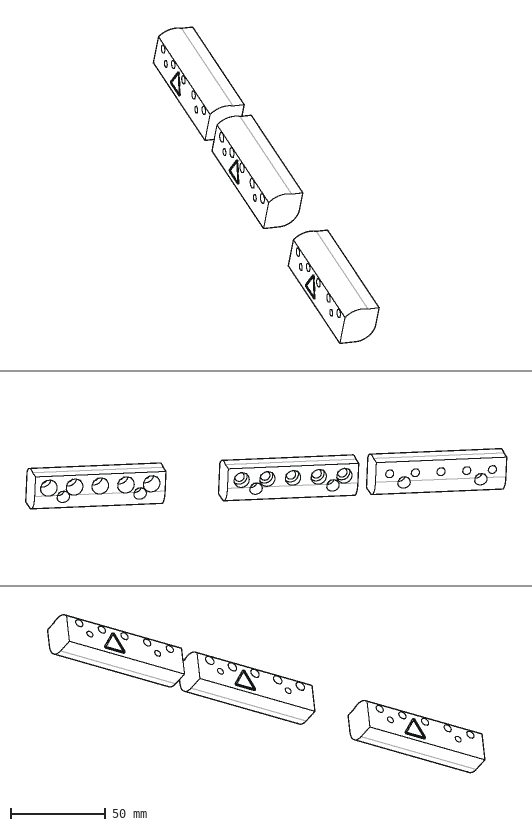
import cadquery as cq
import math

TOTAL_LENGTH = 257.0
BAR_LENGTH = 71.2
MIDDLE_BAR_START = 80.7

TILT_DEGREES = 10.0
TOP_RADIUS = 11.8
FRONT_DISTANCE = 9.2
REAR_DISTANCE = 10.0
BOTTOM_DISTANCE = 9.8
REAR_CORNER_RADIUS = 10.0
SHELF_HEIGHT = 11.3
BAR_DEPTH = FRONT_DISTANCE + REAR_DISTANCE

MAIN_COUNT = 5
MAIN_SPAN = 56.0
MAIN_PITCH = MAIN_SPAN / (MAIN_COUNT - 1)
MAIN_HEIGHT = 4.5
FIRST_BAR_DIAMETER = 4.4
MIDDLE_BAR_DIAMETER = 5.1
MIDDLE_BAR_COUNTERBORE = 8.2
MIDDLE_BAR_COUNTERBORE_DEPTH = 5.1
LAST_BAR_DIAMETER = 4.4
LAST_BAR_COUNTERBORE = 9.0
LAST_BAR_COUNTERBORE_DEPTH = 14.1

SMALL_DIAMETER = 3.5
SMALL_COUNTERBORE = 6.7
SMALL_COUNTERBORE_DEPTH = 11.5
SMALL_SPACING = 42.0
SMALL_MIDPOINT_OFFSET = -1.0
SMALL_HEIGHT = -0.8

TRIANGLE_BASE = 10.5
TRIANGLE_HEIGHT = 9.8
TRIANGLE_CORNER_RADIUS = 0.9
TRIANGLE_BOTTOM = -7.0
TRIANGLE_OFFSET = -7.0
GROOVE_WIDTH = 0.8
GROOVE_DEPTH = 0.5


def plain_bar():
    """Bar without holes: flat front, rounded top with a shelf behind it, rounded lower rear corner."""
    front_edge_height = math.sqrt(TOP_RADIUS**2 - FRONT_DISTANCE**2)
    shelf_start = math.sqrt(TOP_RADIUS**2 - SHELF_HEIGHT**2)
    corner_y = REAR_DISTANCE - REAR_CORNER_RADIUS
    corner_z = REAR_CORNER_RADIUS - BOTTOM_DISTANCE
    corner_reach = REAR_CORNER_RADIUS * math.sqrt(0.5)
    return (
        cq.Workplane("YZ")
        .moveTo(-FRONT_DISTANCE, -BOTTOM_DISTANCE)
        .lineTo(corner_y, -BOTTOM_DISTANCE)
        .threePointArc((corner_y + corner_reach, corner_z - corner_reach), (REAR_DISTANCE, corner_z))
        .lineTo(REAR_DISTANCE, SHELF_HEIGHT)
        .lineTo(shelf_start, SHELF_HEIGHT)
        .threePointArc((0, TOP_RADIUS), (-FRONT_DISTANCE, front_edge_height))
        .close()
        .extrude(BAR_LENGTH)
    )


def rear_drill(x_positions, height, diameter, depth):
    """Cylinders that reach forward from the rear face by the given depth."""
    return (
        cq.Workplane("XZ", origin=(0, REAR_DISTANCE, 0))
        .pushPoints([(x, height) for x in x_positions])
        .circle(diameter / 2)
        .extrude(depth)
    )


def triangle_plate(corner_radius):
    """Thin triangle, sunk into the front face, with its corners rounded around a sharp core."""
    core_bottom = TRIANGLE_BOTTOM + TRIANGLE_CORNER_RADIUS
    return (
        cq.Workplane("XZ", origin=(BAR_LENGTH / 2 + TRIANGLE_OFFSET, -FRONT_DISTANCE, 0))
        .moveTo(-TRIANGLE_BASE / 2, core_bottom)
        .lineTo(TRIANGLE_BASE / 2, core_bottom)
        .lineTo(0, core_bottom + TRIANGLE_HEIGHT)
        .close()
        .offset2D(corner_radius)
        .extrude(-GROOVE_DEPTH)
    )


def triangle_groove():
    """Closed groove of even width along the outline of the rounded triangle."""
    outer = triangle_plate(TRIANGLE_CORNER_RADIUS)
    inner = triangle_plate(TRIANGLE_CORNER_RADIUS - GROOVE_WIDTH)
    return outer.cut(inner)


def drilled_bar(start, main_diameter, main_counterbore=None, main_counterbore_depth=None):
    """One finished bar whose left end is at the given X."""
    middle = BAR_LENGTH / 2
    main_positions = [middle - MAIN_SPAN / 2 + i * MAIN_PITCH for i in range(MAIN_COUNT)]
    small_middle = middle + SMALL_MIDPOINT_OFFSET
    small_positions = [small_middle - SMALL_SPACING / 2, small_middle + SMALL_SPACING / 2]

    bar = plain_bar()
    bar = bar.cut(rear_drill(main_positions, MAIN_HEIGHT, main_diameter, BAR_DEPTH))
    if main_counterbore:
        bar = bar.cut(rear_drill(main_positions, MAIN_HEIGHT, main_counterbore, main_counterbore_depth))
    bar = bar.cut(rear_drill(small_positions, SMALL_HEIGHT, SMALL_DIAMETER, BAR_DEPTH))
    bar = bar.cut(rear_drill(small_positions, SMALL_HEIGHT, SMALL_COUNTERBORE, SMALL_COUNTERBORE_DEPTH))
    bar = bar.cut(triangle_groove())
    return bar.rotate((0, 0, 0), (1, 0, 0), -TILT_DEGREES).translate((start, 0, 0))


first_bar = drilled_bar(0, FIRST_BAR_DIAMETER)
middle_bar = drilled_bar(
    MIDDLE_BAR_START, MIDDLE_BAR_DIAMETER, MIDDLE_BAR_COUNTERBORE, MIDDLE_BAR_COUNTERBORE_DEPTH
)
last_bar = drilled_bar(
    TOTAL_LENGTH - BAR_LENGTH, LAST_BAR_DIAMETER, LAST_BAR_COUNTERBORE, LAST_BAR_COUNTERBORE_DEPTH
)

result = cq.Compound.makeCompound([first_bar.val(), middle_bar.val(), last_bar.val()])